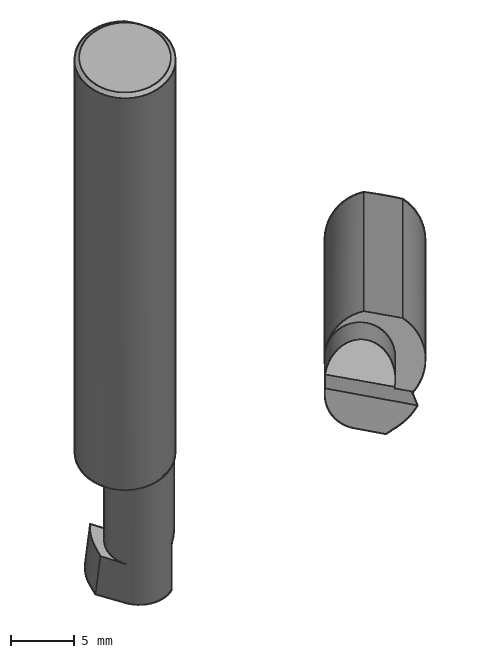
import cadquery as cq
import math

total_length = 63.5
shank_radius = 4.0
flat_distance = 3.7
top_chamfer_width = 0.4
top_chamfer_height = 0.25
shoulder_height = 15.35

neck_radius = 2.8
neck_center_x = shank_radius - neck_radius

relief_height = 5.85
relief_rise = 2.65

head_height = 5.2
head_side_angle = 5.0
head_top_tip_x = -3.0
head_heel_x = -1.8
head_heel_y = -2.0
flank_bow = 0.1
head_front_x = -0.95
head_front_y = -neck_radius

clearance_angle_x = 2.0
clearance_angle_y = 5.5

head_shift = head_height * math.tan(math.radians(head_side_angle))
tip_x = head_top_tip_x - head_shift


def make_shank():
    body = cq.Workplane("XY").workplane(offset=shoulder_height).circle(shank_radius)
    body = body.extrude(total_length - shoulder_height)
    body = body.faces(">Z").chamfer(top_chamfer_height, top_chamfer_width)
    flat_cutter = cq.Workplane("XY").box(
        2 * shank_radius, shank_radius, total_length, centered=(True, False, False)
    )
    return body.cut(flat_cutter.translate((0, flat_distance, 0)))


def make_neck():
    neck = cq.Workplane("XY").center(neck_center_x, 0).circle(neck_radius)
    neck = neck.extrude(shoulder_height)
    relief = (
        cq.Workplane("YZ")
        .moveTo(0, 0)
        .lineTo(0, relief_height)
        .lineTo(neck_radius, relief_height + relief_rise)
        .lineTo(2 * neck_radius, relief_height + 2 * relief_rise)
        .lineTo(2 * neck_radius, 0)
        .close()
        .extrude(2 * shank_radius, both=True)
    )
    return neck.cut(relief)


def draw_head_section(sketch, shift):
    """Head section with a bowed flank, its cutting side moved toward -X by shift."""
    tip_corner = cq.Vector(head_top_tip_x - shift, 0)
    heel = cq.Vector(head_heel_x - shift, head_heel_y)
    chord = heel - tip_corner
    outward = cq.Vector(chord.y, -chord.x).normalized()
    flank_middle = (tip_corner + heel) * 0.5 + outward * flank_bow
    return (
        sketch.moveTo(tip_corner.x, tip_corner.y)
        .threePointArc((flank_middle.x, flank_middle.y), (heel.x, heel.y))
        .lineTo(head_front_x - shift, head_front_y)
        .lineTo(neck_center_x, head_front_y)
        .lineTo(neck_center_x, 0)
        .close()
    )


def make_head():
    bottom = draw_head_section(cq.Workplane("XY"), head_shift)
    both_sections = draw_head_section(bottom.workplane(offset=head_height, origin=(0, 0, 0)), 0)
    return both_sections.loft(ruled=True)


def make_end_clearance():
    """Block below a plane through the tip that rises toward +X and -Y."""
    slope_x = math.tan(math.radians(clearance_angle_x))
    slope_y = math.tan(math.radians(clearance_angle_y))
    plane = cq.Plane(origin=(tip_x, 0, 0), xDir=(1, 0, slope_x), normal=(-slope_x, slope_y, 1))
    block_size = 6 * shank_radius
    return cq.Workplane(plane).rect(block_size, block_size).extrude(-shank_radius)


tip = make_neck().union(make_head()).cut(make_end_clearance())
result = make_shank().union(tip)